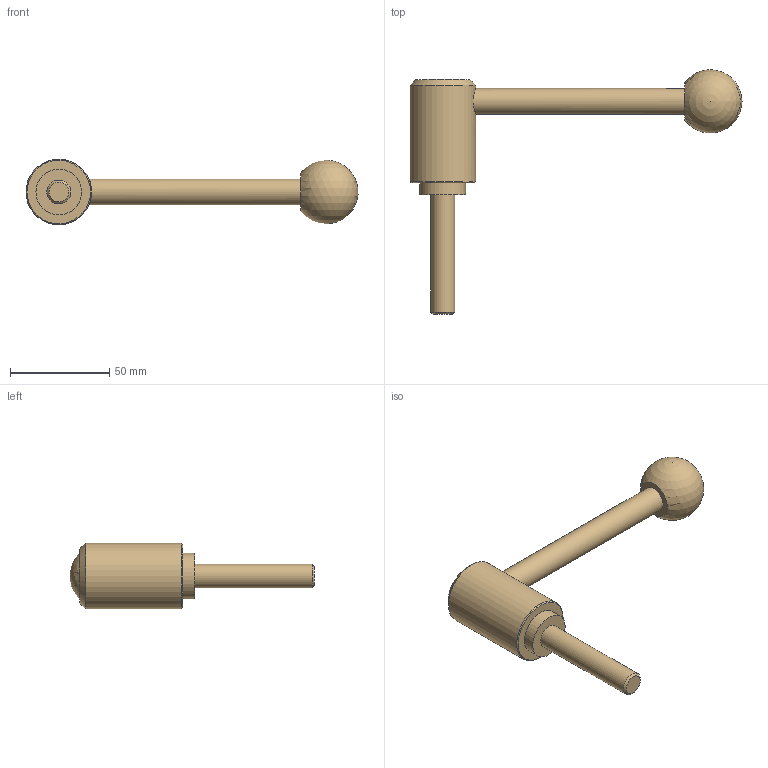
import cadquery as cq
import math


hub_diameter = 33.0
hub_length = 52.0
hub_cap_chamfer = 3.0
hub_stud_side_chamfer = 0.5

collar_diameter = 23.0
collar_length = 6.0
stud_diameter = 12.0
stud_length = 60.0
stud_tip_chamfer = 1.075

arm_diameter = 13.0
arm_to_cap = 11.0
overall_width = 167.0
ball_diameter = 32.0
ball_flat_diameter = 19.0

hub_cap_y = collar_length + hub_length
arm_y = hub_cap_y - arm_to_cap
ball_x = overall_width - hub_diameter / 2 - ball_diameter / 2
ball_flat_distance = math.sqrt((ball_diameter / 2) ** 2 - (ball_flat_diameter / 2) ** 2)


def cylinder_along_y(diameter, start_y, length):
    """Cylinder on the hub axis, running from start_y toward +Y."""
    profile = cq.Workplane("XZ", origin=(0, start_y, 0)).circle(diameter / 2)
    return profile.extrude(-length)


def make_hub():
    """Hub barrel with a wide chamfer on the cap and a small one by the collar."""
    hub = cylinder_along_y(hub_diameter, collar_length, hub_length)
    hub = hub.faces(">Y").chamfer(hub_cap_chamfer)
    return hub.faces("<Y").chamfer(hub_stud_side_chamfer)


def make_collar():
    """Plain collar between the hub and the stud."""
    return cylinder_along_y(collar_diameter, 0, collar_length)


def make_stud():
    """Stud with a chamfered tip."""
    stud = cylinder_along_y(stud_diameter, -stud_length, stud_length)
    return stud.faces("<Y").chamfer(stud_tip_chamfer)


def make_arm():
    """Round arm from the hub axis to the centre of the ball."""
    profile = cq.Workplane("YZ", origin=(0, arm_y, 0)).circle(arm_diameter / 2)
    return profile.extrude(ball_x)


def make_ball():
    """Ball with a flat where the arm enters."""
    ball = cq.Workplane("XY").sphere(ball_diameter / 2)
    kept_side = cq.Workplane("XY", origin=(-ball_flat_distance, 0, 0)).box(
        ball_diameter, ball_diameter, ball_diameter, centered=(False, True, True)
    )
    return ball.intersect(kept_side).translate((ball_x, arm_y, 0))


result = make_hub().union(make_collar()).union(make_stud()).union(make_arm()).union(make_ball())